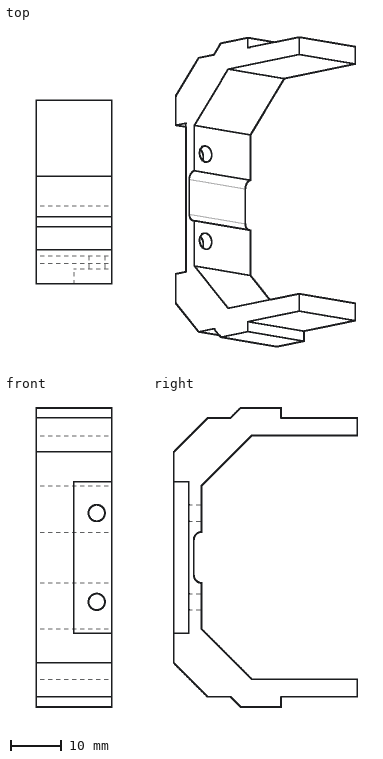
import cadquery as cq

width = 14.96
depth = 36.2
height = 59.0

arm_thickness = 3.5
arm_free_length = 15.0
pad_height = 2.0
pad_bevel_start = 13.2

wall_thickness = 5.5
outer_corner_bevel = 6.7
inner_corner_bevel = 9.9

recess_height = 10.0
recess_depth = 1.5
recess_radius = 1.5

pocket_width = 7.5
pocket_height = 29.8
pocket_depth = 3.0

hole_diameter = 3.2
hole_spacing = 17.5
hole_edge_distance = 3.0

pad_top = height / 2
arm_top = pad_top - pad_height
arm_bottom = arm_top - arm_thickness


def make_upper_half():
    """Upper half of the bracket, from the mid-plane at Z = 0 to the pad."""
    return (
        cq.Workplane("YZ", origin=(-width / 2, 0, 0))
        .moveTo(0, 0)
        .lineTo(0, arm_top - outer_corner_bevel)
        .lineTo(outer_corner_bevel, arm_top)
        .lineTo(pad_bevel_start - pad_height, arm_top)
        .lineTo(pad_bevel_start, pad_top)
        .lineTo(depth - arm_free_length, pad_top)
        .lineTo(depth - arm_free_length, arm_top)
        .lineTo(depth, arm_top)
        .lineTo(depth, arm_bottom)
        .lineTo(wall_thickness + inner_corner_bevel, arm_bottom)
        .lineTo(wall_thickness, arm_bottom - inner_corner_bevel)
        .lineTo(wall_thickness, recess_height / 2)
        .radiusArc(
            (wall_thickness - recess_depth, recess_height / 2 - recess_radius),
            -recess_radius,
        )
        .lineTo(wall_thickness - recess_depth, 0)
        .close()
        .extrude(width)
    )


def make_bracket():
    """Complete C-shaped bracket, symmetric about Z = 0."""
    upper_half = make_upper_half()
    return upper_half.union(upper_half.mirror("XY"))


def make_pocket():
    """Block that cuts the pocket into the front face."""
    pocket_start_x = width / 2 - pocket_width
    return cq.Workplane("XY", origin=(pocket_start_x, 0, 0)).box(
        pocket_width, pocket_depth, pocket_height, centered=(False, False, True)
    )


def make_holes():
    """Pair of cylinders that cut the screw holes along Y."""
    hole_x = width / 2 - hole_edge_distance
    return (
        cq.Workplane("XZ")
        .pushPoints([(hole_x, side * hole_spacing / 2) for side in (-1, 1)])
        .circle(hole_diameter / 2)
        .extrude(-wall_thickness)
    )


result = make_bracket().cut(make_pocket()).cut(make_holes())